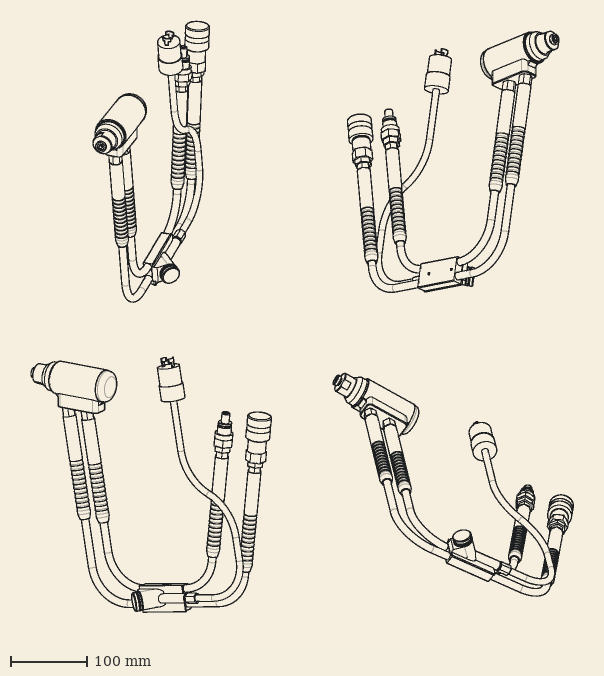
import cadquery as cq
import math

FRAME_TILT = 10.0
FRAME_Y = 206.8
FRAME_Z = -273.5

HOSE_DIAMETER = 10.5
CABLE_DIAMETER = 9.0
CABLE_X = 11.8
BEND_RADIUS = 50.0
UPPER_HOSE_Z = 11.5
LOWER_HOSE_Z = -8.5
CABLE_Z = 1.3
INNER_SPINDLE_HOSE_Y = -81.0
OUTER_SPINDLE_HOSE_Y = -110.0
INNER_SLEEVE_END_Z = 102.5
OUTER_SLEEVE_END_Z = 107.2
COUPLER_LEAN = 16.0

SLEEVE_DIAMETER = 17.5
RIB_ROOT_DIAMETER = 15.0
RIM_COUNT = 10
RIM_WIDTH = 2.2
CONE_LENGTH = 4.0
SLEEVE_PLAIN_LENGTH = 60.5
SLEEVE_COLLAR = 4.8
SLEEVE_TAPER = 7.7
SLEEVE_TIP_DIAMETER = 13.3
RIBS_START = SLEEVE_TAPER + SLEEVE_COLLAR
RIBS_LENGTH = RIM_COUNT * (RIM_WIDTH + CONE_LENGTH) + CONE_LENGTH
SLEEVE_LENGTH = RIBS_START + RIBS_LENGTH + SLEEVE_PLAIN_LENGTH
NUT_LENGTH = 10.5
NUT_OVERLAP = 3.0

BOX_LENGTH = 66.0
BOX_WIDTH = 34.3
BOX_X_MIN = -6.3
BOX_X_MAX = 9.2
BOX_EDGE = 1.0
LID_THICKNESS = 2.2
LID_OVERHANG = 0.7
PIN_HOLE_DIAMETER = 3.0
PIN_HOLE_DEPTH = 2.0
PIN_HOLE_YS = (15.5, -25.5)

PLUG_Y = 66.7
PLUG_BOTTOM_Z = 271.0
PLUG_BACK_DIAMETER = 31.7
PLUG_BACK_LENGTH = 20.0
PLUG_FRONT_DIAMETER = 29.5
PLUG_FRONT_LENGTH = 24.0
PRONG_RING_DIAMETER = 17.0
PRONG_THICKNESS = 1.3
PRONG_LENGTH = 11.0
PRONG_STEM_WIDTH = 4.8
PRONG_HEAD_WIDTH = 11.0
PRONG_HEAD_LENGTH = 5.0


def rod(diameter, length):
    """Cylinder standing on the XY plane, centred on the Z axis."""
    return cq.Workplane("XY").circle(diameter / 2).extrude(length)


def hexagon(corner_diameter, length, turn=90.0):
    """Hexagonal prism on the XY plane; turn is the angle of a corner from X."""
    prism = cq.Workplane("XY").polygon(6, corner_diameter).extrude(length)
    return prism.rotate((0, 0, 0), (0, 0, 1), turn)


def stack(pieces):
    """Pile (solid, height) pieces on each other along Z, from Z = 0 upward."""
    height = 0.0
    pile = None
    for piece, length in pieces:
        placed = piece.translate((0, 0, height))
        pile = placed if pile is None else pile.union(placed)
        height += length
    return pile


def rod_stage(diameter, length):
    return rod(diameter, length), length


def hex_stage(corner_diameter, length, turn=90.0):
    return hexagon(corner_diameter, length, turn), length


def ribbed_sleeve():
    """Sleeve along Z with its tapered hose end at Z = 0."""
    radius = SLEEVE_DIAMETER / 2
    root = RIB_ROOT_DIAMETER / 2
    outline = (
        cq.Workplane("XZ")
        .lineTo(SLEEVE_TIP_DIAMETER / 2, 0)
        .lineTo(radius, SLEEVE_TAPER)
    )
    for rib in range(RIM_COUNT + 1):
        cone_start = RIBS_START + rib * (RIM_WIDTH + CONE_LENGTH)
        cone_end = cone_start + CONE_LENGTH
        outline = (
            outline.lineTo(radius, cone_start)
            .lineTo(root, cone_end)
            .lineTo(radius, cone_end)
        )
    outline = outline.lineTo(radius, SLEEVE_LENGTH).lineTo(0, SLEEVE_LENGTH).close()
    return outline.revolve(360, (0, 0, 0), (0, 1, 0))


def sleeve_stage():
    return ribbed_sleeve(), SLEEVE_LENGTH


def offset(point, angle, distance):
    """Point at a distance in the YZ plane, the angle leaning from Z toward Y."""
    lean = math.radians(angle)
    return point[0] + distance * math.sin(lean), point[1] + distance * math.cos(lean)


def tube(path, diameter, start, toward, x=0.0):
    """Round tube swept along a YZ path that leaves start in the direction of toward."""
    plane = cq.Plane(
        origin=(x, *start),
        xDir=(1, 0, 0),
        normal=(0, toward[0] - start[0], toward[1] - start[1]),
    )
    return cq.Workplane(plane).circle(diameter / 2).sweep(path)


def bend_setback(lean):
    """Distance from the corner of a hose bend to where its arc starts."""
    return BEND_RADIUS * math.tan(math.radians(90 - lean) / 2)


def hose(top, corner, lean=0.0):
    """Hose from top, bent once at the corner, then straight along Y into the box."""
    setback = bend_setback(lean)
    bend_start = offset(corner, lean, setback)
    bend_end = (corner[0] - math.copysign(setback, corner[0]), corner[1])
    path = (
        cq.Workplane("YZ")
        .moveTo(*top)
        .lineTo(*bend_start)
        .tangentArcPoint(bend_end, relative=False)
        .lineTo(0, corner[1])
    )
    return tube(path, HOSE_DIAMETER, top, bend_start)


def stand(body, base, lean=0.0, x=0.0):
    """Lean a body built along Z and put its base at a YZ point."""
    return body.rotate((0, 0, 0), (1, 0, 0), -lean).translate((x, *base))


def fitted_hose(corner, sleeve_end, upper_stages, lean=0.0):
    """Hose with its ribbed sleeve and the stages that stand on the sleeve."""
    inside_sleeve = offset(sleeve_end, lean, SLEEVE_TAPER)
    line = hose(inside_sleeve, corner, lean)
    fitting = stack([sleeve_stage(), *upper_stages])
    return line.union(stand(fitting, sleeve_end, lean))


def spindle_hose(y, box_z, sleeve_end_z):
    """Hose, ribbed sleeve and nut that rise into the spindle block."""
    nut = hex_stage(SLEEVE_DIAMETER, NUT_LENGTH + NUT_OVERLAP)
    return fitted_hose((y, box_z), (y, sleeve_end_z), [nut])


def coupler_hose(corner, neck, coupler_stages):
    """Leaning hose with its ribbed sleeve and a coupler on top."""
    sleeve_end = offset(corner, COUPLER_LEAN, bend_setback(COUPLER_LEAN) + neck)
    return fitted_hose(corner, sleeve_end, coupler_stages, COUPLER_LEAN)


def female_coupler_stages():
    crown_length = 11.8
    crown = rod(31.7, crown_length).faces(">Z").chamfer(1.5)
    return [
        hex_stage(SLEEVE_DIAMETER, 8.0),
        hex_stage(22.5, 7.0),
        hex_stage(27.0, 13.3, turn=0),
        rod_stage(24.0, 16.5),
        rod_stage(22.0, 2.2),
        rod_stage(31.7, 11.8),
        rod_stage(31.0, 7.0),
        (crown, crown_length),
    ]


def male_coupler_stages():
    tip_length = 13.5
    tip = rod(10.7, tip_length).faces(">Z").chamfer(1.0)
    tip = tip.faces(">Z").workplane().hole(4.5, 7.5)
    return [
        hex_stage(SLEEVE_DIAMETER, 8.5),
        hex_stage(22.5, 7.7),
        hex_stage(27.0, 10.5),
        rod_stage(23.5, 6.5),
        rod_stage(18.5, 9.5),
        rod_stage(15.0, 2.2),
        rod_stage(17.7, 3.0),
        (tip, tip_length),
    ]


def splice_box():
    """Box with a slightly larger lid on its +X side and two pin holes opposite."""
    lid_x = BOX_X_MAX - LID_THICKNESS
    box = (
        cq.Workplane("YZ", origin=(BOX_X_MIN, 0, 0))
        .rect(BOX_LENGTH, BOX_WIDTH)
        .extrude(lid_x - BOX_X_MIN)
        .faces("<X")
        .edges("|Y")
        .chamfer(BOX_EDGE)
    )
    lid = (
        cq.Workplane("YZ", origin=(lid_x, 0, 0))
        .rect(BOX_LENGTH + 2 * LID_OVERHANG, BOX_WIDTH + 2 * LID_OVERHANG)
        .extrude(LID_THICKNESS)
    )
    holes = (
        cq.Workplane("YZ", origin=(BOX_X_MIN, 0, 0))
        .pushPoints([(y, 0) for y in PIN_HOLE_YS])
        .circle(PIN_HOLE_DIAMETER / 2)
        .extrude(PIN_HOLE_DEPTH)
    )
    return box.union(lid).cut(holes)


def branch_connector():
    """Cable connector behind the box, with a capped outlet at 45 degrees."""
    half_height = 12.0
    run_x_min = 5.5
    run_end_y = -34.3
    outlet_x, outlet_y = 24.5, -23.5
    barrel_start_x = 3.5
    reach = outlet_x - barrel_start_x
    run_y_max = outlet_y + outlet_x - CABLE_X
    corner_x = outlet_x - (outlet_y - run_end_y)
    body = (
        cq.Workplane("XY", origin=(0, 0, -half_height))
        .moveTo(run_x_min, run_end_y)
        .lineTo(corner_x, run_end_y)
        .lineTo(outlet_x, outlet_y)
        .lineTo(CABLE_X, run_y_max)
        .lineTo(run_x_min, run_y_max)
        .close()
        .extrude(2 * half_height)
    )
    cap_length = 5.5
    cap = rod(25.0, cap_length).edges().chamfer(1.0)
    outlet = stack([
        rod_stage(2 * half_height, reach * math.sqrt(2)),
        rod_stage(20.5, 1.0),
        rod_stage(25.0, 2.2),
        rod_stage(23.2, 1.0),
        (cap, cap_length),
    ])
    outlet = outlet.rotate((0, 0, 0), (0, 1, 0), 90).rotate((0, 0, 0), (0, 0, 1), -45)
    body = body.union(outlet.translate((barrel_start_x, outlet_y + reach, 0)))

    gland = stack([
        rod_stage(12.5, 51.0),
        rod_stage(10.0, 2.0),
        hex_stage(14.0, 15.0),
    ])
    gland = gland.rotate((0, 0, 0), (1, 0, 0), -90)
    return body.union(gland.translate((CABLE_X, run_y_max, 0))).translate((0, 0, CABLE_Z))


def cable():
    """Cable from the plug, through an S-bend, round to the branch connector."""
    lower_run_y = 133.0
    s_bend_top_z = 200.5
    s_bend_bottom_z = 83.3
    s_bend_middle = ((PLUG_Y + lower_run_y) / 2, (s_bend_top_z + s_bend_bottom_z) / 2)
    gland_y = 44.2
    start = (PLUG_Y, PLUG_BOTTOM_Z + 3.7)
    path = (
        cq.Workplane("YZ", origin=(CABLE_X, 0, 0))
        .moveTo(*start)
        .lineTo(PLUG_Y, s_bend_top_z)
        .tangentArcPoint(s_bend_middle, relative=False)
        .tangentArcPoint((lower_run_y, s_bend_bottom_z), relative=False)
        .lineTo(lower_run_y, CABLE_Z + BEND_RADIUS)
        .tangentArcPoint((lower_run_y - BEND_RADIUS, CABLE_Z), relative=False)
        .lineTo(gland_y, CABLE_Z)
    )
    return tube(path, CABLE_DIAMETER, start, (PLUG_Y, s_bend_top_z), CABLE_X)


def plug():
    """Two-stage plug body with a pair of curved twist-lock prongs."""
    body = stack([
        rod_stage(PLUG_BACK_DIAMETER, PLUG_BACK_LENGTH),
        rod_stage(PLUG_FRONT_DIAMETER, PLUG_FRONT_LENGTH),
    ])
    face_z = PLUG_BACK_LENGTH + PLUG_FRONT_LENGTH
    prong_ring = (
        cq.Workplane("XY", origin=(0, 0, face_z))
        .circle(PRONG_RING_DIAMETER / 2)
        .circle(PRONG_RING_DIAMETER / 2 - PRONG_THICKNESS)
        .extrude(PRONG_LENGTH)
    )
    stem = (
        cq.Workplane("XY", origin=(0, 0, face_z))
        .rect(PRONG_STEM_WIDTH, PRONG_RING_DIAMETER)
        .extrude(PRONG_LENGTH)
    )
    head = (
        cq.Workplane("XY", origin=(0, 0, face_z + PRONG_LENGTH - PRONG_HEAD_LENGTH))
        .rect(PRONG_HEAD_WIDTH, PRONG_RING_DIAMETER)
        .extrude(PRONG_HEAD_LENGTH)
    )
    prongs = prong_ring.intersect(stem.union(head))
    return stand(body.union(prongs), (PLUG_Y, PLUG_BOTTOM_Z), x=CABLE_X)


def spindle():
    """Turned body along Y with its tip at Y = 0, wrench flats and hose block."""
    body = (
        cq.Workplane("XY")
        .lineTo(2.2, 0)
        .lineTo(2.2, 2.2)
        .lineTo(4.8, 2.2)
        .lineTo(4.8, 0)
        .lineTo(7.0, 0)
        .lineTo(7.0, 4.0)
        .lineTo(5.0, 4.0)
        .lineTo(5.0, 6.3)
        .lineTo(12.5, 6.3)
        .lineTo(13.45, 7.5)
        .lineTo(13.45, 23.0)
        .lineTo(15.5, 23.0)
        .lineTo(19.0, 29.0)
        .lineTo(19.0, 36.0)
        .lineTo(20.0, 36.0)
        .lineTo(20.0, 38.0)
        .lineTo(21.55, 38.0)
        .lineTo(21.55, 110.0)
        .lineTo(20.82, 110.0)
        .lineTo(20.82, 112.8)
        .threePointArc((18.8, 117.5), (14.0, 119.5))
        .lineTo(0, 119.5)
        .close()
        .revolve(360, (0, 0, 0), (0, 1, 0))
    )
    flat_distance = 12.35
    flat_y_min, flat_y_max = 6.3, 16.5
    for angle in (30, 210):
        flat = (
            cq.Workplane("XY")
            .box(14.7, flat_y_max - flat_y_min, 7.5, centered=(True, False, False))
            .translate((0, flat_y_min, flat_distance))
            .rotate((0, 0, 0), (0, 1, 0), -angle)
        )
        body = body.cut(flat)

    return body.union(hose_block())


def hose_block():
    """Round-cornered block below the spindle, with a sloped lug at each end."""
    half_width = 12.5
    corner_radius = 6.0
    y_min, y_max = 43.5, 105.8
    z_min, z_max = -36.5, -13.0
    block = (
        cq.Workplane("XY")
        .box(2 * half_width, y_max - y_min, z_max - z_min, centered=(True, False, False))
        .translate((0, y_min, z_min))
        .edges("|Z")
        .fillet(corner_radius)
        .faces("<Z")
        .chamfer(1.0)
    )
    lug_reach = 4.5
    lug_half_width = half_width - corner_radius
    lugs = (
        cq.Workplane("YZ", origin=(-lug_half_width, 0, 0))
        .moveTo(y_min, -25.8)
        .lineTo(y_min - lug_reach, -21.7)
        .lineTo(y_min - lug_reach, z_max)
        .lineTo(y_max + lug_reach, z_max)
        .lineTo(y_max + lug_reach, -21.7)
        .lineTo(y_max, -25.8)
        .close()
        .extrude(2 * lug_half_width)
    )
    return block.union(lugs)


harness = splice_box()
for part in (
    spindle_hose(INNER_SPINDLE_HOSE_Y, UPPER_HOSE_Z, INNER_SLEEVE_END_Z),
    spindle_hose(OUTER_SPINDLE_HOSE_Y, LOWER_HOSE_Z, OUTER_SLEEVE_END_Z),
    coupler_hose((119.0, LOWER_HOSE_Z), 7.5, female_coupler_stages()),
    coupler_hose((70.8, UPPER_HOSE_Z), 7.7, male_coupler_stages()),
    branch_connector(),
    cable(),
    plug(),
):
    harness = harness.union(part)

harness = harness.rotate((0, 0, 0), (1, 0, 0), FRAME_TILT).translate((0, FRAME_Y, FRAME_Z))
result = spindle().union(harness)